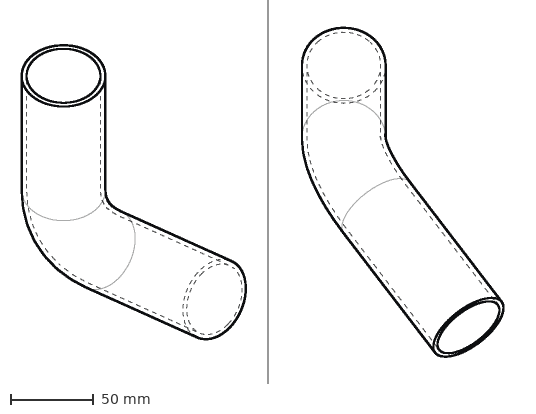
import cadquery as cq
import math

overall_height = 254.3
outer_diameter = 50.9
inner_diameter = 44.7
bend_radius = 89.0
bend_angle = 45.0

sine = math.sin(math.radians(bend_angle))
cosine = math.cos(math.radians(bend_angle))
end_face_drop = outer_diameter / 2 * sine
leg_length = (overall_height - bend_radius * sine - end_face_drop) / (1 + cosine)

top_end = (0, leg_length)
elbow_start = (0, 0)
half_angle = math.radians(bend_angle / 2)
elbow_middle = (
    bend_radius * (1 - math.cos(half_angle)),
    -bend_radius * math.sin(half_angle),
)
elbow_end = (bend_radius * (1 - cosine), -bend_radius * sine)
lower_end = (elbow_end[0] + leg_length * sine, elbow_end[1] - leg_length * cosine)

centreline = (
    cq.Workplane("YZ")
    .moveTo(*top_end)
    .lineTo(*elbow_start)
    .threePointArc(elbow_middle, elbow_end)
    .lineTo(*lower_end)
)

result = (
    cq.Workplane("XY", origin=(0, 0, leg_length))
    .circle(outer_diameter / 2)
    .circle(inner_diameter / 2)
    .sweep(centreline)
)